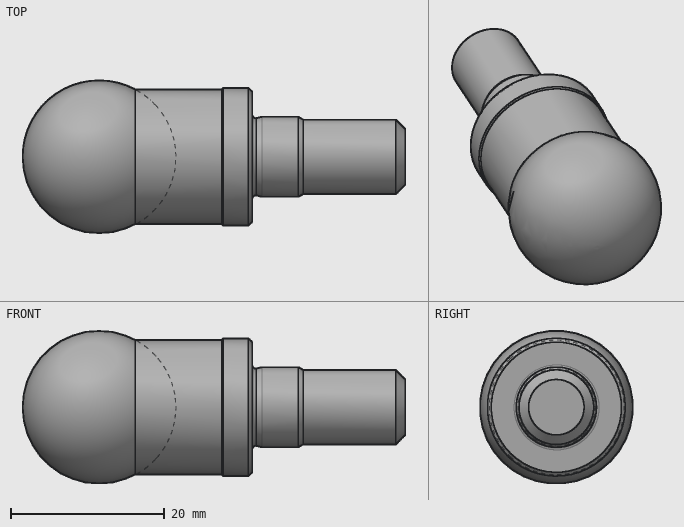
import cadquery as cq
import math


ball_diameter = 20.0
ball_radius = ball_diameter / 2

shank_radius = 17.6 / 2
flange_radius = 18.0 / 2
pilot_radius = 10.5 / 2
stud_radius = 9.75 / 2
undercut_depth = 0.2
undercut_radius = pilot_radius - undercut_depth

flange_start = 26.0
flange_end = 30.0
pilot_end = 36.0
total_length = 50.0

flange_rear_chamfer = 0.5
undercut_fillet = 0.5
undercut_runout_angle = 15.0
pilot_lead_angle = 30.0
stud_chamfer = 1.25

seat_half_angle = math.asin(shank_radius / ball_radius)


def point_on_ball(angle):
    """Point of the ball's outline at this angle (radians) from the +X axis."""
    return (ball_radius + ball_radius * math.cos(angle), ball_radius * math.sin(angle))


def taper_length(radius_change, angle):
    """Axial length of a cone that changes radius at this angle (degrees) to the axis."""
    return radius_change / math.tan(math.radians(angle))


def turn(profile):
    """Revolve a half profile in the XY plane once round the X axis."""
    return profile.close().revolve(360, (0, 0, 0), (1, 0, 0))


def make_ball():
    profile = cq.Workplane("XY").threePointArc((ball_radius, ball_radius), (ball_diameter, 0))
    return turn(profile)


def make_pin():
    flange_front_end = flange_start + (flange_radius - shank_radius)

    fillet_end = flange_end + undercut_fillet
    pilot_start = fillet_end + taper_length(undercut_depth, undercut_runout_angle)
    stud_start = pilot_end + taper_length(pilot_radius - stud_radius, pilot_lead_angle)

    fillet_sag = undercut_fillet * (1 - math.sqrt(0.5))
    fillet_middle = (flange_end + fillet_sag, undercut_radius + fillet_sag)

    seat_rim = point_on_ball(seat_half_angle)
    profile = (
        cq.Workplane("XY")
        .moveTo(*seat_rim)
        .lineTo(flange_start, shank_radius)
        .lineTo(flange_front_end, flange_radius)
        .lineTo(flange_end - flange_rear_chamfer, flange_radius)
        .lineTo(flange_end, flange_radius - flange_rear_chamfer)
        .lineTo(flange_end, undercut_radius + undercut_fillet)
        .threePointArc(fillet_middle, (fillet_end, undercut_radius))
        .lineTo(pilot_start, pilot_radius)
        .lineTo(pilot_end, pilot_radius)
        .lineTo(stud_start, stud_radius)
        .lineTo(total_length - stud_chamfer, stud_radius)
        .lineTo(total_length, stud_radius - stud_chamfer)
        .lineTo(total_length, 0)
        .lineTo(ball_diameter, 0)
        .threePointArc(point_on_ball(seat_half_angle / 2), seat_rim)
    )
    return turn(profile)


ball = make_ball()
pin = make_pin()

result = cq.Compound.makeCompound([ball.val(), pin.val()])